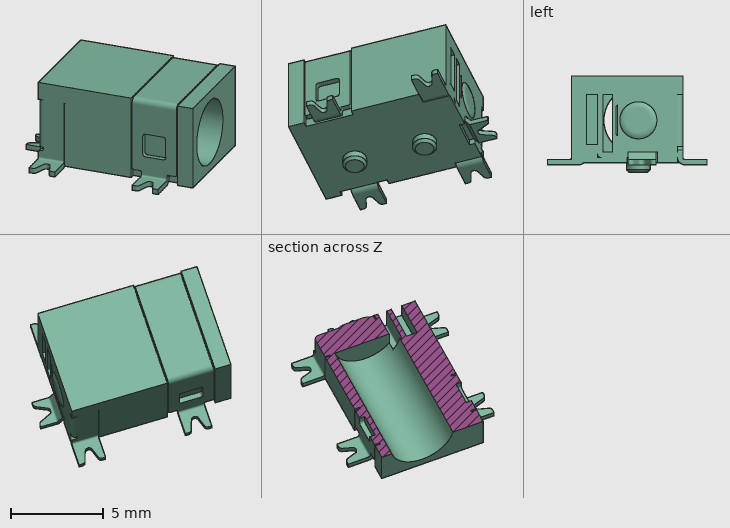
import cadquery as cq
import math


body_length = 9.0
body_width = 6.0
body_height = 4.7
side_face = body_width / 2

sheet = 0.3
bend_radius = 0.1
foot_bottom = -0.1
foot_top = foot_bottom + sheet
foot_width = 1.5
foot_reach = 1.3
notch_depth = 0.8
notch_radius = 0.21
tip_radius = 0.21
side_notch_angle = 18
tail_notch_angle = 25

axis_y = -0.6
axis_z = 2.3
bore_diameter = 3.7
bore_start = foot_width
plunger_diameter = 2.0
plunger_flat_diameter = 1.4
plunger_height = 0.1

flange_length = 0.9
groove_length = 2.7
clip_gap = 0.06
clip_length = groove_length - 2 * clip_gap
clip_middle = body_length - flange_length - groove_length / 2
clip_bottom = 0.5
clip_corner = 0.08
clip_window = 1.34
clip_window_corner = 0.16
clip_window_z = 2.04

spring_bottom = 0.9
spring_radius = axis_z - spring_bottom
spring_top = axis_z + spring_radius
spring_edge = 0.54
spring_end_gap = 0.06
spring_side_gap = 0.03
spring_corner_radius = 0.29
relief_length = spring_corner_radius
relief_bottom = 0.69
relief_radius = 0.1

blade_top = 4.2
outer_blade_face = 2.5
middle_blade_face = 1.61
middle_blade_corner = 0.19
middle_blade_bottom = 0.3
middle_blade_inner_radius = 0.06
shelf_top = middle_blade_bottom + sheet

window_depth = 2.0
outer_window_floor = 1.0
inner_window_edge = 0.8

tail_y = -0.8
tail_slot_gap = 0.06
tail_slot_depth = sheet
tail_upper_outer_bend = -0.33
tail_upper_inner_bend = -0.06
tail_lower_outer_bend = -0.27
tail_lower_inner_bend = 0.03

pin_positions = (2.5, 6.5)
pin_diameter = 1.3
pin_tip_diameter = 1.0
pin_length = 0.5
pin_chamfer = (pin_diameter - pin_tip_diameter) / 2


def block(x_range, y_range, z_range):
    """Box between the given limits on each axis."""
    size = [limits[1] - limits[0] for limits in (x_range, y_range, z_range)]
    corner = (x_range[0], y_range[0], z_range[0])
    return cq.Workplane("XY").box(*size, centered=False).translate(corner)


def notch_foot(plate, tip_y, half_angle):
    """Cut a round-bottomed V notch into the +Y end of a plate centred on X = 0."""
    angle = math.radians(half_angle)
    centre_y = tip_y - notch_depth + notch_radius
    tangent_x = notch_radius * math.cos(angle)
    tangent_y = centre_y - notch_radius * math.sin(angle)
    mouth_x = tangent_x + (tip_y - tangent_y) * math.tan(angle)
    notch = (
        cq.Workplane("XY", origin=(0, 0, foot_bottom))
        .moveTo(-mouth_x, tip_y)
        .lineTo(-tangent_x, tangent_y)
        .threePointArc((0, tip_y - notch_depth), (tangent_x, tangent_y))
        .lineTo(mouth_x, tip_y)
        .close()
        .extrude(sheet)
    )
    plate = plate.cut(notch)
    for x in (-mouth_x, mouth_x):
        corner = cq.selectors.NearestToPointSelector((x, tip_y, foot_bottom + sheet / 2))
        plate = plate.edges("|Z").edges(corner).fillet(tip_radius)
    return plate


def bent_leg(face, wall_top, tip):
    """Upright wall with its outer side at Y = face, bent into a notched foot that ends at Y = tip."""
    leg = (
        cq.Workplane("YZ", origin=(-foot_width / 2, 0, 0))
        .moveTo(face - sheet, wall_top)
        .lineTo(face - sheet, foot_top + bend_radius)
        .radiusArc((face + bend_radius, foot_bottom), -(sheet + bend_radius))
        .lineTo(tip, foot_bottom)
        .lineTo(tip, foot_top)
        .lineTo(face + bend_radius, foot_top)
        .radiusArc((face, foot_top + bend_radius), bend_radius)
        .lineTo(face, wall_top)
        .close()
        .extrude(foot_width)
    )
    return notch_foot(leg, tip, side_notch_angle)


def turn_to_minus_y(leg):
    return leg.rotate((0, 0, 0), (0, 0, 1), 180)


def housing():
    body = block((0, body_length), (-side_face, side_face), (0, body_height))
    core_half = side_face - sheet
    groove_x = (clip_middle - groove_length / 2, clip_middle + groove_length / 2)
    core = block(groove_x, (-core_half, core_half), (0, body_height - sheet))
    groove = block(groove_x, (-side_face, side_face), (0, body_height)).cut(core)
    bore = (
        cq.Workplane("YZ", origin=(bore_start, axis_y, axis_z))
        .circle(bore_diameter / 2)
        .extrude(body_length - bore_start)
    )
    return body.cut(groove).cut(bore)


def front_windows():
    outer = block(
        (0, window_depth),
        (middle_blade_face, outer_blade_face - sheet),
        (outer_window_floor, spring_top),
    )
    inner = block(
        (0, window_depth),
        (inner_window_edge, middle_blade_face - sheet),
        (shelf_top, spring_top),
    )
    return outer.union(inner)


def clip():
    x_range = (clip_middle - clip_length / 2, clip_middle + clip_length / 2)
    outside = block(x_range, (-side_face, side_face), (clip_bottom, body_height))
    outside = outside.edges("|X and >Z").fillet(sheet)
    core_half = side_face - sheet
    inside = block(x_range, (-core_half, core_half), (clip_bottom, body_height - sheet))
    shell = outside.cut(inside)
    window = (
        cq.Workplane("XZ", origin=(clip_middle, side_face, clip_window_z))
        .rect(clip_window, clip_window)
        .extrude(body_width)
        .edges("|Y")
        .fillet(clip_window_corner)
    )
    leg = bent_leg(side_face, clip_bottom + sheet, side_face + foot_reach)
    for side_leg in (leg, turn_to_minus_y(leg)):
        shell = shell.union(side_leg.translate((clip_middle, 0, 0)))
    shell = shell.cut(window)
    lower_corners = cq.selectors.BoxSelector(
        (x_range[0] - clip_corner, -body_width, clip_bottom - clip_corner),
        (x_range[1] + clip_corner, body_width, clip_bottom + clip_corner),
    )
    return shell.edges("|Y").edges(lower_corners).fillet(clip_corner)


def rounded_tab(edge):
    """Plate in the front face, round about the bore axis and cut straight at Y = edge."""
    disc = cq.Workplane("YZ", origin=(0, axis_y, axis_z)).circle(spring_radius).extrude(sheet)
    disc = disc.intersect(block((0, sheet), (-side_face, edge), (0, body_height)))
    return disc.union(block((0, sheet), (-side_face, axis_y), (spring_bottom, spring_top)))


def spring_recess():
    side_length = foot_width + spring_side_gap
    side = block((0, side_length), (-side_face, sheet - side_face), (0, spring_top))
    return rounded_tab(spring_edge + spring_end_gap).union(side)


def spring_plate():
    leg = turn_to_minus_y(bent_leg(side_face, spring_top, side_face + foot_reach))
    plate = leg.translate((foot_width / 2, 0, 0)).union(rounded_tab(spring_edge))
    wall_y = (-side_face, sheet - side_face)
    corner = block((0, sheet), wall_y, (spring_bottom, spring_top))
    rounded_corner = corner.edges("|Z and <X and <Y").fillet(spring_corner_radius)
    relief = (
        cq.Workplane("XZ", origin=(0, wall_y[1], 0))
        .moveTo(0, spring_bottom)
        .lineTo(relief_length, spring_bottom)
        .lineTo(relief_length, relief_bottom + relief_radius)
        .radiusArc((relief_length - relief_radius, relief_bottom), relief_radius)
        .lineTo(relief_radius, relief_bottom)
        .radiusArc((0, relief_bottom - relief_radius), -relief_radius)
        .close()
        .extrude(sheet)
    )
    return plate.cut(corner).union(rounded_corner).cut(relief)


def plunger():
    flat_radius = plunger_flat_diameter / 2
    edge_radius = plunger_diameter / 2
    rim = edge_radius - flat_radius
    dome_radius = (rim**2 + plunger_height**2) / (2 * plunger_height)
    return (
        cq.Workplane("XY", origin=(0, axis_y, axis_z))
        .moveTo(sheet, 0)
        .lineTo(-plunger_height, 0)
        .lineTo(-plunger_height, flat_radius)
        .radiusArc((0, edge_radius), dome_radius)
        .lineTo(sheet, edge_radius)
        .close()
        .revolve(360, (0, 0, 0), (1, 0, 0))
    )


def outer_contact():
    leg = bent_leg(outer_blade_face, blade_top, side_face + foot_reach)
    return leg.translate((foot_width / 2, 0, 0))


def middle_contact_recess():
    corner = block(
        (0, foot_width),
        (middle_blade_face - sheet, middle_blade_face),
        (middle_blade_bottom, shelf_top),
    )
    slot_half = foot_width / 2 + tail_slot_gap
    slot = block((0, tail_slot_depth), (tail_y - slot_half, tail_y + slot_half), (0, shelf_top))
    return corner.union(slot)


def middle_contact():
    end_y = tail_y - foot_width / 2
    blade = (
        cq.Workplane("YZ")
        .moveTo(end_y, middle_blade_bottom)
        .lineTo(middle_blade_face, middle_blade_bottom)
        .lineTo(middle_blade_face, blade_top)
        .lineTo(middle_blade_face - sheet, blade_top)
        .lineTo(middle_blade_face - sheet, shelf_top)
        .lineTo(end_y, shelf_top)
        .close()
        .extrude(foot_width)
    )
    bends = (
        (middle_blade_face, middle_blade_bottom, middle_blade_corner),
        (middle_blade_face - sheet, shelf_top, middle_blade_inner_radius),
    )
    for y, z, radius in bends:
        bend = cq.selectors.NearestToPointSelector((foot_width / 2, y, z))
        blade = blade.edges("|X").edges(bend).fillet(radius)
    return blade.union(tail())


def tail():
    """Solder foot stepped down from the shelf; shaped pointing to +Y, then turned to point to -X."""
    strip = (
        cq.Workplane("YZ", origin=(-foot_width / 2, 0, 0))
        .moveTo(-sheet, shelf_top)
        .lineTo(-tail_upper_inner_bend, shelf_top)
        .lineTo(-tail_upper_outer_bend, foot_top)
        .lineTo(foot_reach, foot_top)
        .lineTo(foot_reach, foot_bottom)
        .lineTo(-tail_lower_outer_bend, foot_bottom)
        .lineTo(-tail_lower_inner_bend, middle_blade_bottom)
        .lineTo(-sheet, middle_blade_bottom)
        .close()
        .extrude(foot_width)
    )
    top_bend = cq.selectors.NearestToPointSelector((0, -tail_upper_outer_bend, foot_top))
    strip = strip.edges("|X").edges(top_bend).fillet(bend_radius)
    strip = notch_foot(strip, foot_reach, tail_notch_angle)
    return strip.rotate((0, 0, 0), (0, 0, 1), 90).translate((0, tail_y, 0))


def locating_pins():
    return (
        cq.Workplane("XY", origin=(0, axis_y, 0))
        .pushPoints([(x, 0) for x in pin_positions])
        .circle(pin_diameter / 2)
        .extrude(-pin_length)
        .faces("<Z")
        .chamfer(pin_chamfer)
    )


recesses = (front_windows(), spring_recess(), middle_contact_recess())
added_parts = (
    clip(),
    spring_plate(),
    plunger(),
    outer_contact(),
    middle_contact(),
    locating_pins(),
)

jack = housing()
for recess in recesses:
    jack = jack.cut(recess)
for added in added_parts:
    jack = jack.union(added)

result = jack